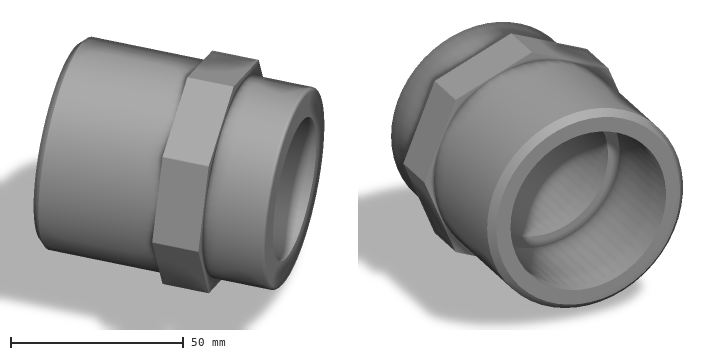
import cadquery as cq
import math

total_length = 70.0
collar_start = 37.5
collar_width = 14.0
collar_end = collar_start + collar_width

socket_diameter = 63.0
spigot_diameter = 60.0
collar_across_flats = 64.0
collar_sides = 8
collar_corner_diameter = collar_across_flats / math.cos(math.pi / collar_sides)
collar_trim_diameter = 69.15

lead_in_length = 2.1
lead_in_depth = 1.95
spigot_round = 1.0

socket_bore_diameter = 50.0
socket_bore_depth = 31.0
throat_diameter = 42.6


def cylinder_along_x(diameter, start, end):
    """Solid cylinder centred on the X axis between two X positions."""
    return cq.Workplane("YZ", origin=(start, 0, 0)).circle(diameter / 2).extrude(end - start)


socket = cylinder_along_x(socket_diameter, 0, collar_end)
socket = socket.faces("<X").edges().chamfer(lead_in_length, lead_in_depth)

spigot = cylinder_along_x(spigot_diameter, collar_start, total_length)
spigot = spigot.faces(">X").edges().fillet(spigot_round)

collar = (
    cq.Workplane("YZ", origin=(collar_start, 0, 0))
    .polygon(collar_sides, collar_corner_diameter)
    .extrude(collar_width)
)
collar = collar.intersect(cylinder_along_x(collar_trim_diameter, collar_start, collar_end))

socket_bore = cylinder_along_x(socket_bore_diameter, 0, socket_bore_depth)
throat = cylinder_along_x(throat_diameter, 0, total_length)

result = socket.union(collar).union(spigot).cut(socket_bore).cut(throat)